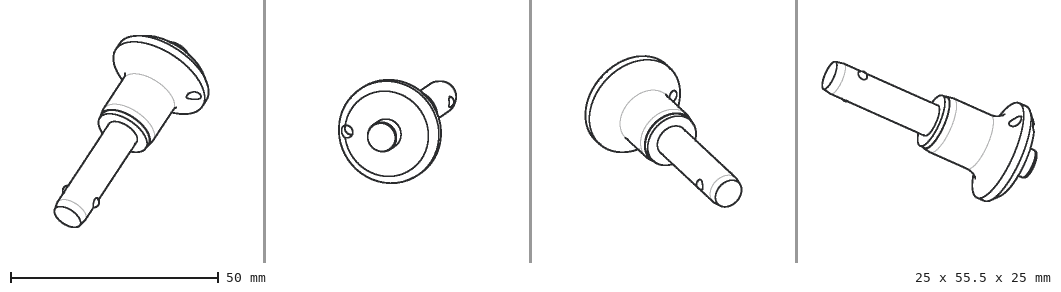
import cadquery as cq
import math

total_length = 55.5

shank_radius = 4.0
tip_length = 2.05
tip_inset = 0.4

grip_start = 28.2
grip_radius = 7.1
collar_length = 1.2
collar_radius = 6.65
taper_length = 1.65
taper_inset = 0.3

flange_radius = 12.5
rim_width = 2.05
flange_chamfer = 2.05

button_radius = 3.6
button_length = 4.7
button_edge_length = 0.5
button_edge_inset = 0.15

ball_radius = 1.35
ball_offset = 3.5
ball_position = 6.9

hole_diameter = 3.05
hole_offset = 10.0

collar_end = grip_start + collar_length
taper_end = collar_end + taper_length
flange_back = total_length - button_length
rim_back = flange_back - flange_chamfer
rim_front = rim_back - rim_width
cove_radius = flange_radius - grip_radius
cove_start = rim_front - cove_radius


def make_body():
    """Revolve the half outline of the shank, grip, flange and button about the Y axis."""
    cove_middle = (
        flange_radius - cove_radius * math.sin(math.pi / 4),
        cove_start + cove_radius * math.sin(math.pi / 4),
    )
    outline = (
        cq.Workplane("XY")
        .lineTo(shank_radius - tip_inset, 0)
        .lineTo(shank_radius, tip_length)
        .lineTo(shank_radius, grip_start)
        .lineTo(collar_radius, grip_start)
        .lineTo(collar_radius, collar_end)
        .lineTo(grip_radius - taper_inset, collar_end)
        .lineTo(grip_radius, taper_end)
        .lineTo(grip_radius, cove_start)
        .threePointArc(cove_middle, (flange_radius, rim_front))
        .lineTo(flange_radius, rim_back)
        .lineTo(flange_radius - flange_chamfer, flange_back)
        .lineTo(button_radius, flange_back)
        .lineTo(button_radius, total_length - button_edge_length)
        .lineTo(button_radius - button_edge_inset, total_length)
        .lineTo(0, total_length)
        .close()
    )
    return outline.revolve(360, (0, 0, 0), (0, 1, 0))


def add_locking_balls(body):
    """Two balls stand proud of the shank on opposite sides."""
    for side in (-1, 1):
        ball = cq.Workplane("XY").sphere(ball_radius)
        body = body.union(ball.translate((side * ball_offset, ball_position, 0)))
    return body


def cut_lanyard_hole(body):
    """Hole through the flange, parallel to the pin axis."""
    cutter = (
        cq.Workplane("XZ", origin=(hole_offset, total_length, 0))
        .circle(hole_diameter / 2)
        .extrude(total_length)
    )
    return body.cut(cutter)


result = cut_lanyard_hole(add_locking_balls(make_body()))